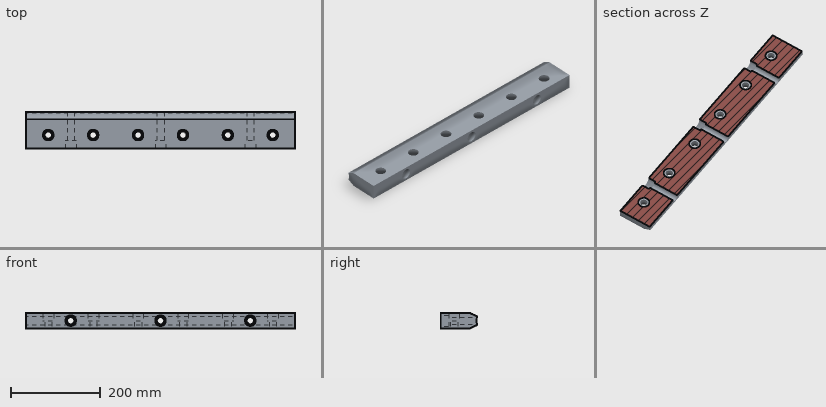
import cadquery as cq

LENGTH = 599.5
WIDTH = 81.88
HEIGHT = 35.0

TAPER_WIDTH = 17.0
NOSE_HEIGHT = 19.0
GROOVE_DEPTH = 1.75

HOLE_DIAMETER = 16.0
COUNTERBORE_DIAMETER = 24.0
COUNTERBORE_DEPTH = 18.0

VERTICAL_HOLE_COUNT = 6
VERTICAL_HOLE_PITCH = 100.0
VERTICAL_HOLE_FROM_FRONT = 30.0

HORIZONTAL_HOLE_COUNT = 3
HORIZONTAL_HOLE_PITCH = 200.0


def make_bar():
    """Extrude the nosed cross-section along X, centred on X and Z, with the front face at Y = 0."""
    shoulder = WIDTH - TAPER_WIDTH
    half_height = HEIGHT / 2
    half_nose = NOSE_HEIGHT / 2
    return (
        cq.Workplane("YZ")
        .moveTo(0, -half_height)
        .lineTo(shoulder, -half_height)
        .lineTo(WIDTH, -half_nose)
        .threePointArc((WIDTH - GROOVE_DEPTH, 0), (WIDTH, half_nose))
        .lineTo(shoulder, half_height)
        .lineTo(0, half_height)
        .close()
        .extrude(LENGTH / 2, both=True)
    )


def row_positions(count, pitch):
    """X positions of a row of holes centred on the bar."""
    return [(i - (count - 1) / 2) * pitch for i in range(count)]


def make_hole_tool(entry, direction, through_length):
    """Stepped cutter that starts at the entry point and runs along the direction."""
    start = cq.Vector(*entry)
    axis = cq.Vector(*direction)
    bore = cq.Solid.makeCylinder(HOLE_DIAMETER / 2, through_length, start, axis)
    counterbore = cq.Solid.makeCylinder(COUNTERBORE_DIAMETER / 2, COUNTERBORE_DEPTH, start, axis)
    return bore.fuse(counterbore)


def cut_vertical_holes(body):
    for x in row_positions(VERTICAL_HOLE_COUNT, VERTICAL_HOLE_PITCH):
        entry = (x, VERTICAL_HOLE_FROM_FRONT, HEIGHT / 2)
        body = body.cut(make_hole_tool(entry, (0, 0, -1), HEIGHT))
    return body


def cut_horizontal_holes(body):
    for x in row_positions(HORIZONTAL_HOLE_COUNT, HORIZONTAL_HOLE_PITCH):
        body = body.cut(make_hole_tool((x, 0, 0), (0, 1, 0), WIDTH))
    return body


result = cut_horizontal_holes(cut_vertical_holes(make_bar()))